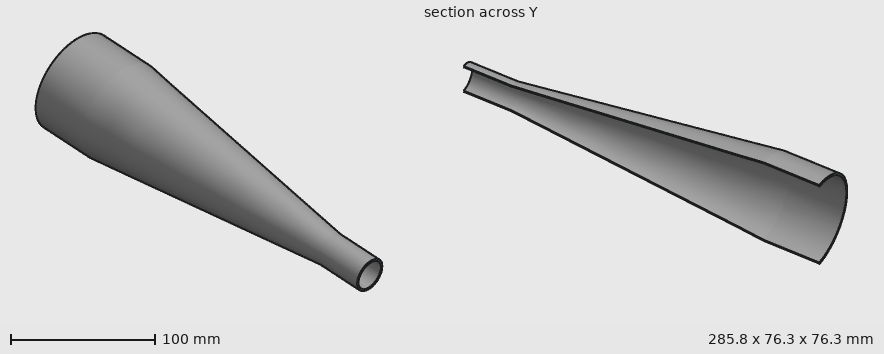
import cadquery as cq

total_length = 285.8
large_length = 44.5
small_length = 38.0
large_diameter = 76.3
small_diameter = 25.5
wall = 1.7

large_radius = large_diameter / 2
small_radius = small_diameter / 2
cone_end = total_length - small_length


def reducer_body(inset):
    """Solid of revolution about X, with every radius reduced by inset."""
    large = large_radius - inset
    small = small_radius - inset
    return (
        cq.Workplane("XY")
        .moveTo(0, 0)
        .lineTo(0, large)
        .lineTo(large_length, large)
        .lineTo(cone_end, small)
        .lineTo(total_length, small)
        .lineTo(total_length, 0)
        .close()
        .revolve(360, (0, 0, 0), (1, 0, 0))
    )


result = reducer_body(0).cut(reducer_body(wall))